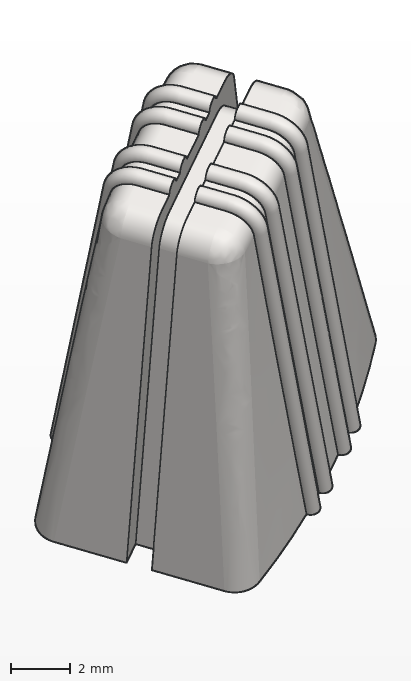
import cadquery as cq
import math

total_height = 15.06
base_length = 12.7
base_width = 9.1
side_bulge = 0.7

rib_radius = 0.33
body_height = total_height - rib_radius
top_length = 7.62
top_width = 5.0
top_bulge = 0.09
edge_radius = 1.0

rib_places = (0.89, 1.91)

slot_width = 0.9
slot_depth = 0.87


def bulged_rectangle(plane_height, width, length, bulge):
    """Rectangle whose two long sides bow outward; width is measured across the bows."""
    middle_x = width / 2
    corner_x = middle_x - bulge
    corner_y = length / 2
    return (
        cq.Workplane("XY", origin=(0, 0, plane_height))
        .moveTo(-corner_x, -corner_y)
        .lineTo(corner_x, -corner_y)
        .threePointArc((middle_x, 0), (corner_x, corner_y))
        .lineTo(-corner_x, corner_y)
        .threePointArc((-middle_x, 0), (-corner_x, -corner_y))
        .close()
        .val()
    )


def make_body():
    bottom = bulged_rectangle(0, base_width, base_length, side_bulge)
    top = bulged_rectangle(body_height, top_width, top_length, top_bulge)
    body = cq.Workplane(cq.Solid.makeLoft([bottom, top], True))
    return body.edges("not(<Z)").fillet(edge_radius)


def half_width(place, width, length, bulge):
    """Half width of a bulged rectangle at a distance along Y from its middle."""
    bow_radius = ((length / 2) ** 2 + bulge**2) / (2 * bulge)
    return width / 2 - bow_radius + math.sqrt(bow_radius**2 - place**2)


def make_rib(place):
    """Round bar whose centreline lies on the body surface at one distance along Y."""
    bottom_x = half_width(place, base_width, base_length, side_bulge)
    top_x = half_width(place, top_width, top_length, top_bulge)

    slope = (bottom_x - top_x) / body_height
    lean = math.atan(slope)
    start_z = -2 * rib_radius
    start_x = bottom_x - slope * start_z

    bend_z = body_height - edge_radius
    tangent_z = bend_z + edge_radius * math.sin(lean)
    tangent_x = bottom_x - slope * tangent_z
    bend_x = tangent_x - edge_radius * math.cos(lean)
    halfway = (lean + math.pi / 2) / 2
    arc_x = bend_x + edge_radius * math.cos(halfway)
    arc_z = bend_z + edge_radius * math.sin(halfway)

    path = (
        cq.Workplane("XZ", origin=(0, place, 0))
        .moveTo(-start_x, start_z)
        .lineTo(-tangent_x, tangent_z)
        .threePointArc((-arc_x, arc_z), (-bend_x, body_height))
        .lineTo(bend_x, body_height)
        .threePointArc((arc_x, arc_z), (tangent_x, tangent_z))
        .lineTo(start_x, start_z)
    )
    start_plane = cq.Plane(
        origin=(-start_x, place, start_z),
        xDir=(0, 1, 0),
        normal=(math.sin(lean), 0, math.cos(lean)),
    )
    rib = cq.Workplane(start_plane).circle(rib_radius).sweep(path)
    trim = cq.Workplane("XY").box(
        2 * base_width, base_length, total_height, centered=(True, True, False)
    ).translate((0, 0, -total_height))
    return rib.cut(trim)


def make_slot():
    """Slab through the whole part, less the web that stays in its middle."""
    slab = cq.Workplane("XY").box(
        slot_width, 2 * base_length, total_height, centered=(True, True, False)
    )
    web_height = body_height - slot_depth
    web_base = base_length / 2 - slot_depth
    web_top = web_base - web_height * (base_length - top_length) / 2 / body_height
    web = (
        cq.Workplane("YZ")
        .polyline([
            (-web_base, 0),
            (web_base, 0),
            (web_top, web_height),
            (-web_top, web_height),
        ])
        .close()
        .extrude(slot_width / 2, both=True)
        .faces(">Z")
        .edges("|X")
        .fillet(edge_radius)
    )
    return slab.cut(web)


part = make_body()
for distance in rib_places:
    for side in (-1, 1):
        part = part.union(make_rib(side * distance))
part = part.cut(make_slot())

result = part